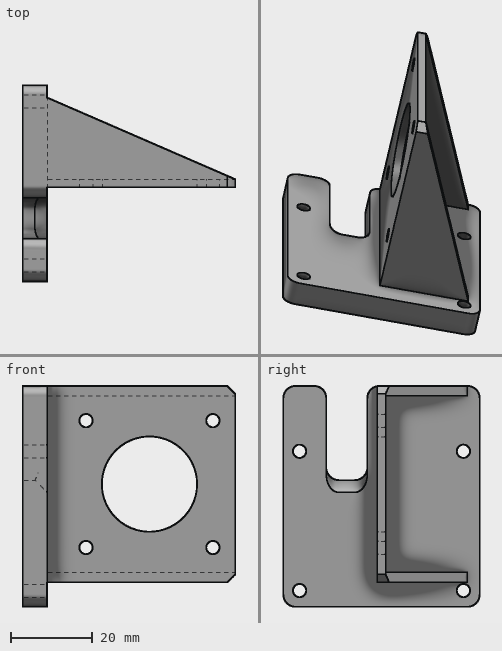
import cadquery as cq

base_thickness = 6.0
base_width = 48.0
base_height = 54.0
corner_radius = 3.0
base_hole_inset = 4.0
upper_hole_height = 38.0
screw_diameter = 3.2

slot_y_min = 10.55
slot_width = 10.0
slot_floor = 31.0
slot_center_y = slot_y_min + slot_width / 2
slope_start = base_thickness / 2
slope_angle = 45

length = 52.0
motor_y = 23.0
motor_thickness = 2.0
motor_bottom = base_thickness
motor_center_x = 31.0
motor_center_z = (motor_bottom + base_height) / 2
motor_bore = 23.2
motor_hole_spacing = 31.0
motor_corner = 2.0

gusset_thickness = 2.5

cut_reach = 2 * base_height


def make_base():
    plate = cq.Workplane("XY").box(base_thickness, base_width, base_height, centered=False)
    plate = plate.edges("|X").fillet(corner_radius)
    holes = (
        cq.Workplane("YZ")
        .pushPoints([
            (y, z)
            for y in (base_hole_inset, base_width - base_hole_inset)
            for z in (base_hole_inset, upper_hole_height)
        ])
        .circle(screw_diameter / 2)
        .extrude(base_thickness)
    )
    return plate.cut(holes)


def slot_profile(workplane):
    """Round-cornered slot, with its floor centered on the workplane origin."""
    return (
        workplane.moveTo(-slot_width / 2, cut_reach)
        .lineTo(-slot_width / 2, corner_radius)
        .radiusArc((-slot_width / 2 + corner_radius, 0), -corner_radius)
        .lineTo(slot_width / 2 - corner_radius, 0)
        .radiusArc((slot_width / 2, corner_radius), -corner_radius)
        .lineTo(slot_width / 2, cut_reach)
        .close()
    )


def cut_slot(body):
    straight = slot_profile(
        cq.Workplane("YZ", origin=(0, slot_center_y, slot_floor))
    ).extrude(base_thickness)
    pivot = (slope_start, slot_center_y, slot_floor)
    sloped = slot_profile(cq.Workplane("YZ", origin=pivot)).extrude(base_thickness, both=True)
    pivot_end = (slope_start, slot_center_y + slot_width, slot_floor)
    sloped = sloped.rotate(pivot, pivot_end, slope_angle)
    rear_half = cq.Workplane("XY").box(
        base_thickness - slope_start, slot_width, base_height, centered=False
    ).translate((slope_start, slot_y_min, 0))
    return body.cut(straight).cut(sloped.intersect(rear_half))


def cut_slot_mouth(body):
    """Round the slot walls into the top; the rounding just shaves the motor plate's front edge."""
    mouth_y_min = slot_y_min - corner_radius
    mouth_y_max = slot_y_min + slot_width + corner_radius
    arc_start = base_height - corner_radius
    mouth = (
        cq.Workplane("YZ")
        .moveTo(mouth_y_min, base_height)
        .radiusArc((slot_y_min, arc_start), corner_radius)
        .lineTo(slot_y_min + slot_width, arc_start)
        .radiusArc((mouth_y_max, base_height), corner_radius)
        .close()
        .extrude(length)
    )
    return body.cut(mouth)


def make_motor_bracket():
    height = base_height - motor_bottom
    plan = (
        cq.Workplane("XY", origin=(0, 0, motor_bottom))
        .moveTo(base_thickness, motor_y)
        .lineTo(length, motor_y)
        .lineTo(length, motor_y + motor_thickness)
        .lineTo(base_thickness, base_width - corner_radius)
        .close()
        .extrude(height)
    )
    pocket = cq.Workplane("XY").box(
        length, base_width, height - 2 * gusset_thickness, centered=False
    ).translate((base_thickness, motor_y + motor_thickness, motor_bottom + gusset_thickness))
    return plan.faces(">X").edges("|Y").chamfer(motor_corner).cut(pocket)


def cut_motor_holes(body):
    face = cq.Workplane("XZ", origin=(motor_center_x, motor_y, motor_center_z))
    bore = face.circle(motor_bore / 2).extrude(-motor_thickness)
    screws = (
        face.rect(motor_hole_spacing, motor_hole_spacing, forConstruction=True)
        .vertices()
        .circle(screw_diameter / 2)
        .extrude(-motor_thickness)
    )
    return body.cut(bore).cut(screws)


base = cut_slot(make_base())
bracket = cut_motor_holes(make_motor_bracket())
result = cut_slot_mouth(base.union(bracket))